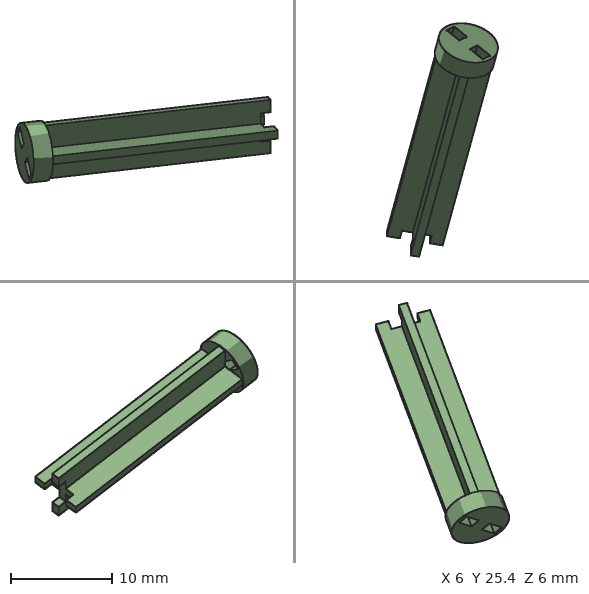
import cadquery as cq

total_length = 25.4
head_diameter = 6.0
head_length = 2.0

blade_width = 5.65
blade_thickness = 0.86

recess_width = 3.0
recess_depth = 1.0

slot_inner_radius = 0.75
slot_outer_radius = 2.57
slot_width = 1.07
slot_angle = 45.0


def box_along_y(width, height, start, end):
    """Box centred on the pin axis, running from start to end along Y."""
    return cq.Workplane("XY").box(
        width, end - start, height, centered=(True, False, True)
    ).translate((0, start, 0))


def make_head():
    return cq.Workplane("XZ").circle(head_diameter / 2).extrude(-head_length)


def make_shank():
    horizontal_blade = box_along_y(blade_width, blade_thickness, head_length, total_length)
    vertical_blade = box_along_y(blade_thickness, blade_width, head_length, total_length)
    recess = box_along_y(recess_width, recess_width, total_length - recess_depth, total_length)
    return horizontal_blade.union(vertical_blade).cut(recess)


def make_slot(side):
    """Slot cutter on the +X (side = 1) or -X (side = -1) half of the head."""
    slot_length = slot_outer_radius - slot_inner_radius
    slot_centre = (slot_inner_radius + slot_outer_radius) / 2
    slot = box_along_y(slot_length, slot_width, 0, head_length)
    slot = slot.translate((side * slot_centre, 0, 0))
    return slot.rotate((0, 0, 0), (0, 1, 0), slot_angle)


head = make_head()
for side in (-1, 1):
    head = head.cut(make_slot(side))

result = head.union(make_shank())